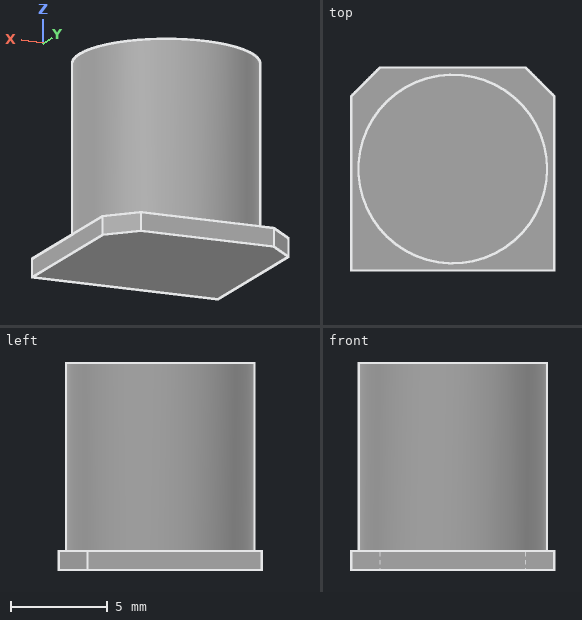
import cadquery as cq

BASE_SIDE = 10.5
BASE_THICKNESS = 1.0
CORNER_CHAMFER = 1.5
TOTAL_HEIGHT = 10.7
BODY_DIAMETER = 9.74

BODY_HEIGHT = TOTAL_HEIGHT - BASE_THICKNESS


def make_base():
    """Square base plate with the two corners on its +Y side cut off."""
    plate = cq.Workplane("XY").box(
        BASE_SIDE, BASE_SIDE, BASE_THICKNESS, centered=(True, True, False)
    )
    return plate.faces(">Y").edges("|Z").chamfer(CORNER_CHAMFER)


def make_body():
    """Upright cylinder standing on the middle of the base plate."""
    return (
        cq.Workplane("XY")
        .workplane(offset=BASE_THICKNESS)
        .circle(BODY_DIAMETER / 2)
        .extrude(BODY_HEIGHT)
    )


result = make_base().union(make_body())